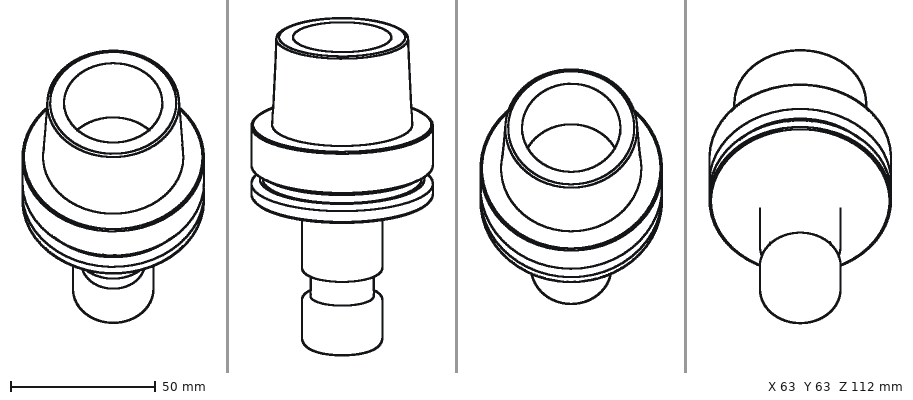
import cadquery as cq
import math

total_height = 112.0

taper_top_radius = 22.8
taper_base_radius = 24.3
taper_rim_width = 1.0
taper_rim_height = 0.6
bore_radius = 17.0

flange_radius = 31.5
flange_top = 80.2
flange_bottom = 54.3
flange_edge_chamfer = 0.6
groove_radius = 27.5
groove_floor_top = 63.7
groove_floor_bottom = 60.5
groove_flare = 1.7
groove_flank_angle = math.radians(30)
bore_depth = total_height - flange_top

arbor_radius = 14.0
shank_fillet = 4.9
shank_bottom = 27.2
shank_edge_fillet = 1.1
neck_radius = 11.0
relief_radius = 10.8
relief_fillet = 0.9
relief_slope_height = 1.0
head_top = 17.9
head_top_fillet = 1.6
head_bottom_fillet = 2.9

groove_mouth_radius = flange_radius - groove_flare / math.tan(groove_flank_angle)


def fillet_arc(outline, center, radius, start_angle, end_angle):
    """Add an arc to the outline, which must already be at its start angle."""
    def point(degrees):
        angle = math.radians(degrees)
        return (center[0] + radius * math.cos(angle), center[1] + radius * math.sin(angle))

    return outline.threePointArc(point((start_angle + end_angle) / 2), point(end_angle))


def add_arbor(outline):
    """Half profile from the bottom face up to the underside of the flange."""
    low = head_bottom_fillet
    outline = outline.lineTo(arbor_radius - low, 0)
    outline = fillet_arc(outline, (arbor_radius - low, low), low, -90, 0)
    high = head_top_fillet
    outline = outline.lineTo(arbor_radius, head_top - high)
    outline = fillet_arc(outline, (arbor_radius - high, head_top - high), high, 0, 90)
    relief_z = shank_bottom - relief_fillet
    outline = (
        outline.lineTo(neck_radius, head_top)
        .lineTo(neck_radius, relief_z - relief_slope_height)
        .lineTo(relief_radius, relief_z)
    )
    outline = fillet_arc(outline, (relief_radius + relief_fillet, relief_z), relief_fillet, 180, 90)
    edge = shank_edge_fillet
    outline = outline.lineTo(arbor_radius - edge, shank_bottom)
    outline = fillet_arc(outline, (arbor_radius - edge, shank_bottom + edge), edge, -90, 0)
    outline = outline.lineTo(arbor_radius, flange_bottom - shank_fillet)
    shank_center = (arbor_radius + shank_fillet, flange_bottom - shank_fillet)
    return fillet_arc(outline, shank_center, shank_fillet, 180, 90)


def add_flange(outline):
    """Half profile of the chamfered flange and its flared groove."""
    return (
        outline.lineTo(flange_radius - flange_edge_chamfer, flange_bottom)
        .lineTo(flange_radius, flange_bottom + flange_edge_chamfer)
        .lineTo(flange_radius, groove_floor_bottom - groove_flare)
        .lineTo(groove_mouth_radius, groove_floor_bottom)
        .lineTo(groove_radius, groove_floor_bottom)
        .lineTo(groove_radius, groove_floor_top)
        .lineTo(groove_mouth_radius, groove_floor_top)
        .lineTo(flange_radius, groove_floor_top + groove_flare)
        .lineTo(flange_radius, flange_top - flange_edge_chamfer)
        .lineTo(flange_radius - flange_edge_chamfer, flange_top)
    )


def add_taper(outline):
    """Half profile of the taper and the blind bore, closing on the axis."""
    return (
        outline.lineTo(taper_base_radius, flange_top)
        .lineTo(taper_top_radius, total_height - taper_rim_height)
        .lineTo(taper_top_radius - taper_rim_width, total_height)
        .lineTo(bore_radius, total_height)
        .lineTo(bore_radius, total_height - bore_depth)
        .lineTo(0, total_height - bore_depth)
        .close()
    )


profile = add_taper(add_flange(add_arbor(cq.Workplane("XZ").moveTo(0, 0))))
result = profile.revolve(360, (0, 0, 0), (0, 1, 0))